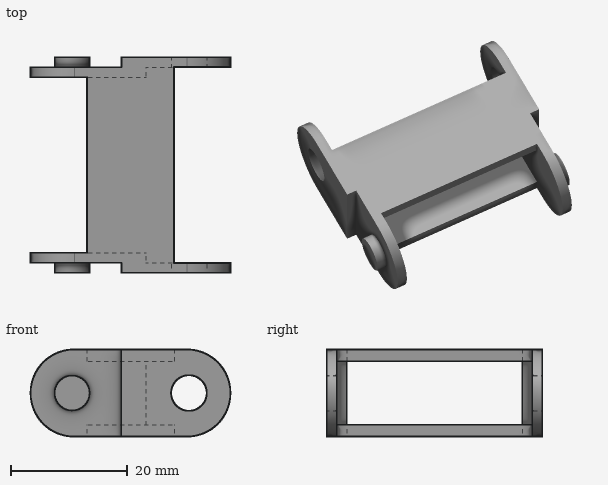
import cadquery as cq

length = 34.3
width = 37.0
height = 15.0

plate_thickness = 1.75
end_radius = height / 2
outer_plate_start = -1.55
inner_plate_end = 2.6

pivot_pitch = 20.0
pivot_offset = pivot_pitch / 2
pin_diameter = 6.0
hole_diameter = 6.05

bridge_length = height
bridge_thickness = 2.07

outer_face = width / 2
joint_face = outer_face - plate_thickness
inner_face = joint_face - plate_thickness


def cylinder_along_y(x, diameter, y_start, y_end):
    """Round bar parallel to Y at mid height."""
    return (
        cq.Workplane("XZ", origin=(0, y_start, 0))
        .center(x, 0)
        .circle(diameter / 2)
        .extrude(y_start - y_end)
    )


def rounded_plate(square_end, tip, y_start, y_end):
    """Side plate with one square end and one full-round end at the tip."""
    direction = 1 if tip > square_end else -1
    arc_start = tip - direction * end_radius
    return (
        cq.Workplane("XZ", origin=(0, y_start, 0))
        .moveTo(square_end, -end_radius)
        .lineTo(arc_start, -end_radius)
        .threePointArc((tip, 0), (arc_start, end_radius))
        .lineTo(square_end, end_radius)
        .close()
        .extrude(y_start - y_end)
    )


def side():
    """Outer plate with its hole and inner plate with its pin, on the +Y side."""
    outer = rounded_plate(outer_plate_start, length / 2, joint_face, outer_face)
    outer = outer.cut(cylinder_along_y(pivot_offset, hole_diameter, joint_face, outer_face))
    inner = rounded_plate(inner_plate_end, -length / 2, inner_face, joint_face)
    pin = cylinder_along_y(-pivot_offset, pin_diameter, joint_face, outer_face)
    return inner.union(outer).union(pin)


def bridge():
    """Flat bridge flush with the top edges of the plates."""
    return (
        cq.Workplane("XY")
        .box(bridge_length, 2 * joint_face, bridge_thickness)
        .translate((0, 0, (height - bridge_thickness) / 2))
    )


plus_y_side = side()
top_bridge = bridge()
result = (
    plus_y_side
    .union(plus_y_side.mirror("XZ"))
    .union(top_bridge)
    .union(top_bridge.mirror("XY"))
)